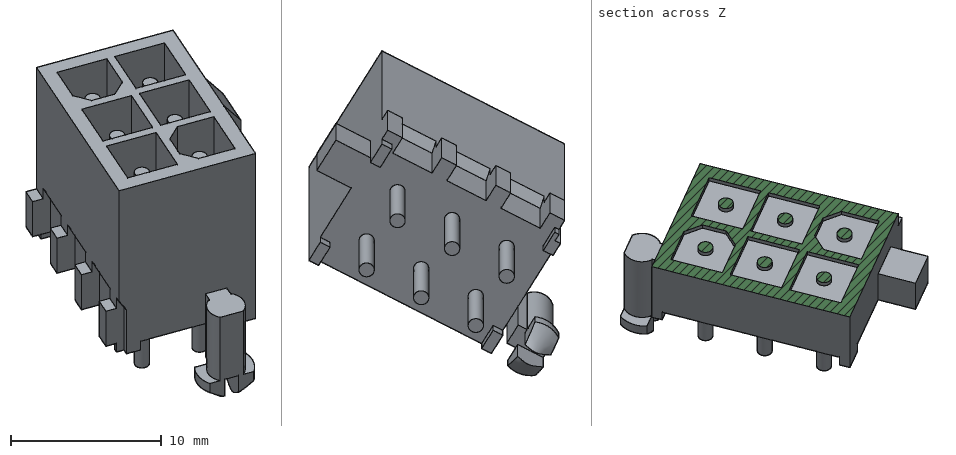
import cadquery as cq


overall_length = 19.15
columns = 3
rows = 2
pitch = 4.15
body_x = 13.9
body_y = 9.85
body_height = 13.48
foot_x = 0.75
foot_y = 1.55
foot_drop = 0.75

pocket_size = 3.58
pocket_depth = 9.58
key_chamfer = 0.95

pin_diameter = 1.01
pin_tip_depth = 1.45
pin_top = body_height - pin_tip_depth
pin_bottom = -4.45

rib_count = 4
rib_pitch = 4.12
rib_width = 1.13
rib_reach = 0.77
rib_height = 3.03
recess_depth = 0.54
recess_top = 3.9

latch_width = 3.03
latch_reach = 1.28
latch_ramp_drop = 1.75
latch_tip_drop = 2.62
latch_root_drop = 2.49

side_reach = (overall_length - body_x) / 2
peg_width = 2.57
side_height = 2.57
neck_length = 0.67
neck_width = 1.53
post_radius = 1.28
barb_radius = 2.0
barb_axis_offset = 1.42
barb_top = -2.9
barb_straight = 0.79
barb_slot = 1.0
post_bottom = -5.1

left = -body_x / 2
right = body_x / 2
front = -body_y / 2
back = body_y / 2
row_y = [(row - (rows - 1) / 2) * pitch for row in range(rows)]
column_x = [(column - (columns - 1) / 2) * pitch for column in range(columns)]


def block(x_range, y_range, z_range):
    """Box spanning the given (low, high) ranges."""
    low, high = zip(x_range, y_range, z_range)
    size = [b - a for a, b in zip(low, high)]
    return cq.Workplane("XY").box(*size, centered=False).translate(low)


def pocket(x, y, keyed_edges=None):
    """Square terminal cavity; the selected upright edges carry the keying chamfers."""
    cavity = cq.Workplane("XY").box(pocket_size, pocket_size, pocket_depth, centered=(True, True, False))
    if keyed_edges:
        cavity = cavity.faces(keyed_edges).edges("|Z").chamfer(key_chamfer)
    return cavity.translate((x, y, body_height - pocket_depth))


def housing():
    body = block((left, right), (front, back), (0, body_height))
    for x in (left, right - foot_x):
        for y in (front, back - foot_y):
            body = body.union(block((x, x + foot_x), (y, y + foot_y), (-foot_drop, 0)))

    keyed_faces = {(0, 0): ">X", (columns - 1, rows - 1): "<Y"}
    for column, x in enumerate(column_x):
        for row, y in enumerate(row_y):
            body = body.cut(pocket(x, y, keyed_faces.get((column, row))))
    return body


def recess(x_start, x_end):
    """Front-wall recess with a sloping ceiling, open at the bottom."""
    return (
        cq.Workplane("YZ", origin=(x_start, 0, 0))
        .moveTo(front, -foot_drop)
        .lineTo(front, recess_top)
        .lineTo(front + recess_depth, rib_height)
        .lineTo(front + recess_depth, -foot_drop)
        .close()
        .extrude(x_end - x_start)
    )


def add_front_ribs(body):
    for index in range(rib_count):
        x = left + index * rib_pitch
        rib_end = x + rib_width
        recess_end = min(x + rib_pitch, right)
        body = body.cut(recess(rib_end, recess_end))
        body = body.union(block((x, rib_end), (front - rib_reach, front), (0, rib_height)))
    return body


def latch():
    return (
        cq.Workplane("YZ")
        .moveTo(back, body_height)
        .lineTo(back + latch_reach, body_height - latch_ramp_drop)
        .lineTo(back + latch_reach, body_height - latch_tip_drop)
        .lineTo(back, body_height - latch_root_drop)
        .close()
        .extrude(latch_width / 2, both=True)
    )


def side_peg():
    y = row_y[0]
    half_width = peg_width / 2
    return block((left - side_reach, left), (y - half_width, y + half_width), (0, side_height))


def locking_post():
    """Flat-sided post on a neck, ending in a slotted conical barb."""
    y = row_y[-1]
    inner_x = right + neck_length
    outer_x = right + side_reach
    neck_y = (y - neck_width / 2, y + neck_width / 2)
    slot_y = (y - barb_slot / 2, y + barb_slot / 2)

    stem = (
        cq.Workplane("XY", origin=((inner_x + outer_x) / 2, y, barb_top))
        .circle(post_radius)
        .extrude(side_height - barb_top)
    )
    cone_top = barb_top - barb_straight
    barb = (
        cq.Workplane("XZ")
        .moveTo(0, barb_top)
        .lineTo(barb_radius, barb_top)
        .lineTo(barb_radius, cone_top)
        .lineTo(barb_slot / 2, post_bottom)
        .lineTo(0, post_bottom)
        .close()
        .revolve(360, (0, 0, 0), (0, 1, 0))
        .translate((right + barb_axis_offset, y, 0))
        .cut(block((right, outer_x + barb_radius), slot_y, (post_bottom, barb_top)))
    )
    flats = block((inner_x, outer_x), (y - barb_radius, y + barb_radius), (post_bottom, side_height))
    neck = block((right, inner_x), neck_y, (barb_top, side_height))
    return stem.union(barb).intersect(flats).union(neck)


def pins():
    return (
        cq.Workplane("XY", origin=(0, 0, pin_bottom))
        .pushPoints([(x, y) for x in column_x for y in row_y])
        .circle(pin_diameter / 2)
        .extrude(pin_top - pin_bottom)
    )


result = add_front_ribs(housing())
for feature in (latch(), side_peg(), locking_post(), pins()):
    result = result.union(feature)